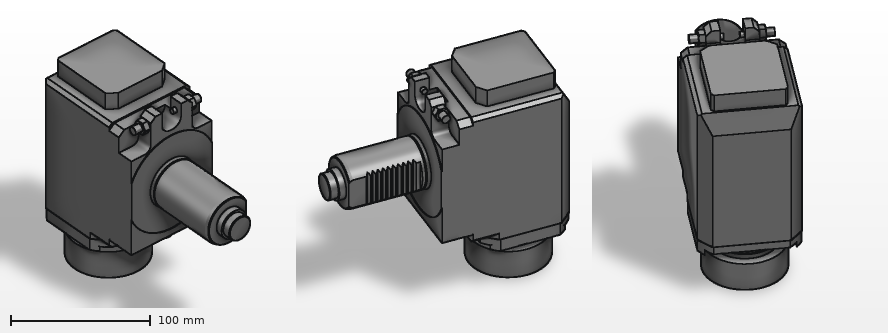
import cadquery as cq
import math


BODY_WIDTH = 76.0
HALF_WIDTH = BODY_WIDTH / 2
HEAD_LENGTH = 70.0
NECK_START = 80.1
BODY_END = 104.5
BODY_BOTTOM = 45.5
CORNER_TOP = 51.3
HEAD_UNDERSIDE = 48.2
NECK_BOTTOM = 56.3
HEAD_TOP = 159.0
NECK_TOP = 157.9
CORNER_X = 10.5
CORNER_Y = 9.5
FRONT_SLOPE_X = 8.5
FRONT_SLOPE_Z = 14.5
HEAD_EDGE_Y = 3.0
HEAD_EDGE_Z = 2.7
UNDER_EDGE_Z = CORNER_TOP - HEAD_UNDERSIDE
NECK_EDGE_Y = 5.0
NECK_EDGE_Z = 4.5

COVER_START = 10.0
COVER_HALF_WIDTH = 27.9
COVER_TOP = 173.2
COVER_FRONT_CHAMFER = 2.0
COVER_REAR_CHAMFER_X = 5.5
COVER_REAR_CHAMFER_Y = 7.2

NOTCH_START = 90.9
NOTCH_FLOOR = 139.7
NOTCH_WALL_Y = 19.5
NOTCH_FILLET = 6.0
LUG_START = 93.0
LUG_TOP = 168.7
LUG_CHAMFER = 4.1
CHANNEL_START = 87.0
CHANNEL_HALF_WIDTH = 9.0
CHANNEL_FILLET = 8.1

SCREW_X = 98.1
SCREW_Z = 159.7
SCREW_RADIUS = 3.2
SCREW_END_Y = 31.0
TIP_RADIUS = 2.2
TIP_END_Y = 6.0
NUT_FLATS = 10.3
NUT_END_Y = 24.5
NUT_CHAMFER_RADIAL = 0.9
NUT_CHAMFER_AXIAL = 0.5

SHANK_Z = 103.9
FACE_RADIUS = 41.4
FACE_END = 105.1
FLANGE_RADIUS = 20.5
FLANGE_END = 107.8
GROOVE_RADIUS = 19.6
GROOVE_END = 108.9
SHANK_RADIUS = 20.2
SHANK_TAPER_START = 164.7
SHANK_END = 168.0
SHANK_LEAD_RADIUS = 19.5
SHANK_LEAD_CHAMFER = 0.5
COLLAR_RADIUS = 11.9
COLLAR_END = 173.3
PIN_RADIUS = 10.0
PIN_END = 180.0
PIN_CHAMFER = 0.5

FLAT_Y = 16.0
FLAT_START = 111.8
TOOTH_COUNT = 10
TOOTH_ROW_LENGTH = 36.0
TOOTH_PITCH = TOOTH_ROW_LENGTH / (TOOTH_COUNT - 1)
FIRST_GROOVE_X = 116.5
TOOTH_DEPTH = 1.8
TOOTH_HALF_WIDTH = 1.6

SPINDLE_X = HEAD_LENGTH / 2
BASE_RADIUS = 44.5
BASE_INSET = 0.2
BASE_BOTTOM = 39.2
RAIL_BOTTOM = 35.3
RAIL_INNER_Y = 33.3
SPINDLE_NUT_RADIUS = 31.5
SPINDLE_NUT_TOP = 25.4
SPINDLE_NUT_CHAMFER_RADIAL = 4.0
SPINDLE_NUT_CHAMFER_AXIAL = 2.3
LOWER_RING_RADIUS = 25.0
LOWER_RING_TOP = 29.2
SPINDLE_NECK_RADIUS = 24.0
SPINDLE_NECK_TOP = 32.0
UPPER_RING_RADIUS = 25.5
RING_FLATS_BOTTOM = 34.4
RING_FLATS_Y = 22.9

BOLT_X = 94.0
BOLT_RADIUS = 7.4
BOLT_BOTTOM = 52.4


def block(x_range, y_range, z_range):
    """Box between the given coordinate pairs."""
    (x0, x1), (y0, y1), (z0, z1) = x_range, y_range, z_range
    return cq.Workplane("XY").box(x1 - x0, y1 - y0, z1 - z0, centered=False).translate((x0, y0, z0))


def both_sides(half):
    """A shape together with its mirror image about Y = 0."""
    return half.union(half.mirror("XZ"), clean=True)


def along_x(points, x0, x1):
    """Closed (Y, Z) outline extruded from x0 to x1."""
    return cq.Workplane("YZ", origin=(x0, 0, 0)).polyline(points).close().extrude(x1 - x0)


def along_y(radius, y0, y1):
    """Round bar on the clamping screw axis between y0 and y1."""
    plane = cq.Plane(origin=(SCREW_X, y0, SCREW_Z), xDir=(1, 0, 0), normal=(0, 1, 0))
    return cq.Workplane(plane).circle(radius).extrude(y1 - y0)


def edge_wedges(x0, x1, z_edge, depth_y, depth_z):
    """Wedges that chamfer both long edges at height z_edge; depth_z is signed into the body."""
    points = [
        (HALF_WIDTH, z_edge),
        (HALF_WIDTH - depth_y, z_edge),
        (HALF_WIDTH, z_edge + depth_z),
    ]
    return both_sides(along_x(points, x0, x1))


def corner_wedges(x_corner, depth_x, z0, z1):
    """Wedges that chamfer both vertical corners at x_corner; depth_x is signed into the body."""
    wedge = (
        cq.Workplane("XY", origin=(0, 0, z0))
        .polyline([
            (x_corner, HALF_WIDTH),
            (x_corner + depth_x, HALF_WIDTH),
            (x_corner, HALF_WIDTH - CORNER_Y),
        ])
        .close()
        .extrude(z1 - z0)
    )
    return both_sides(wedge)


def make_body():
    side_outline = [
        (0, HEAD_UNDERSIDE),
        (NECK_START, HEAD_UNDERSIDE),
        (NECK_START, NECK_BOTTOM),
        (BODY_END, NECK_BOTTOM),
        (BODY_END, NECK_TOP),
        (NECK_START, NECK_TOP),
        (NECK_START, HEAD_TOP),
        (FRONT_SLOPE_X, HEAD_TOP),
        (0, HEAD_TOP - FRONT_SLOPE_Z),
    ]
    body = cq.Workplane("XZ").polyline(side_outline).close().extrude(HALF_WIDTH, both=True)
    body = body.cut(edge_wedges(0, NECK_START, HEAD_UNDERSIDE, HEAD_EDGE_Y, UNDER_EDGE_Z))
    body = body.cut(edge_wedges(0, NECK_START, HEAD_TOP, HEAD_EDGE_Y, -HEAD_EDGE_Z))
    body = body.cut(edge_wedges(NECK_START, BODY_END, NECK_TOP, NECK_EDGE_Y, -NECK_EDGE_Z))

    column = block((0, HEAD_LENGTH), (-HALF_WIDTH, HALF_WIDTH), (BODY_BOTTOM, CORNER_TOP))
    column = column.cut(corner_wedges(HEAD_LENGTH, -CORNER_X, BODY_BOTTOM, CORNER_TOP))
    return body.union(column).cut(corner_wedges(0, CORNER_X, BODY_BOTTOM, HEAD_TOP))


def make_cover():
    half_outline = [
        (COVER_START, 0),
        (COVER_START, COVER_HALF_WIDTH - COVER_FRONT_CHAMFER),
        (COVER_START + COVER_FRONT_CHAMFER, COVER_HALF_WIDTH),
        (HEAD_LENGTH - COVER_REAR_CHAMFER_X, COVER_HALF_WIDTH),
        (HEAD_LENGTH, COVER_HALF_WIDTH - COVER_REAR_CHAMFER_Y),
        (HEAD_LENGTH, 0),
    ]
    half = cq.Workplane("XY", origin=(0, 0, HEAD_TOP)).polyline(half_outline).close()
    return both_sides(half.extrude(COVER_TOP - HEAD_TOP))


def make_notches():
    """Side notches beside the clamping lugs, with a rounded foot on the inner wall."""
    arc_offset = NOTCH_FILLET * (1 - math.sqrt(0.5))
    notch = (
        cq.Workplane("YZ", origin=(NOTCH_START, 0, 0))
        .moveTo(HALF_WIDTH, NOTCH_FLOOR)
        .lineTo(NOTCH_WALL_Y + NOTCH_FILLET, NOTCH_FLOOR)
        .threePointArc(
            (NOTCH_WALL_Y + arc_offset, NOTCH_FLOOR + arc_offset),
            (NOTCH_WALL_Y, NOTCH_FLOOR + NOTCH_FILLET),
        )
        .lineTo(NOTCH_WALL_Y, NECK_TOP)
        .lineTo(HALF_WIDTH, NECK_TOP)
        .close()
        .extrude(BODY_END - NOTCH_START)
    )
    return both_sides(notch)


def make_lugs():
    outline = [
        (CHANNEL_HALF_WIDTH, NECK_TOP),
        (NOTCH_WALL_Y, NECK_TOP),
        (NOTCH_WALL_Y, LUG_TOP - LUG_CHAMFER),
        (NOTCH_WALL_Y - LUG_CHAMFER, LUG_TOP),
        (CHANNEL_HALF_WIDTH, LUG_TOP),
    ]
    return both_sides(along_x(outline, LUG_START, BODY_END))


def make_channel():
    """Round-bottomed channel between the lugs."""
    channel = block(
        (CHANNEL_START, BODY_END),
        (-CHANNEL_HALF_WIDTH, CHANNEL_HALF_WIDTH),
        (NECK_TOP - CHANNEL_FILLET, LUG_TOP),
    )
    return channel.edges("|X and <Z").fillet(CHANNEL_FILLET)


def make_screws():
    """Set screw, chamfered hex nut and screw tip on each lug."""
    corner_radius = NUT_FLATS / math.sqrt(3)
    plane = cq.Plane(origin=(SCREW_X, NOTCH_WALL_Y, SCREW_Z), xDir=(1, 0, 0), normal=(0, 1, 0))
    hexagon = cq.Workplane(plane).polygon(6, 2 * corner_radius).extrude(NUT_END_Y - NOTCH_WALL_Y)
    turned = along_y(corner_radius, NOTCH_WALL_Y, NUT_END_Y)
    turned = turned.faces(">Y").chamfer(NUT_CHAMFER_AXIAL, NUT_CHAMFER_RADIAL)
    screw = along_y(SCREW_RADIUS, NOTCH_WALL_Y, SCREW_END_Y)
    tip = along_y(TIP_RADIUS, TIP_END_Y, NOTCH_WALL_Y)
    return both_sides(hexagon.intersect(turned).union(screw).union(tip))


def make_face_plate():
    """Thin round seating face, trimmed to the body width."""
    disc = cq.Workplane("YZ", origin=(BODY_END, 0, SHANK_Z)).circle(FACE_RADIUS)
    disc = disc.extrude(FACE_END - BODY_END)
    trim = block((BODY_END, FACE_END), (-HALF_WIDTH, HALF_WIDTH), (0, COVER_TOP))
    return disc.intersect(trim)


def make_shank():
    flange_drop = FLANGE_RADIUS - GROOVE_RADIUS
    flange_width = FLANGE_END - FACE_END
    crown_radius = (flange_width**2 + flange_drop**2) / (2 * flange_drop)
    crown_middle = FACE_END + flange_width / 2
    crown_middle_drop = crown_radius - math.sqrt(crown_radius**2 - (flange_width / 2) ** 2)
    half_profile = (
        cq.Workplane("XZ")
        .moveTo(BODY_END, 0)
        .lineTo(BODY_END, FLANGE_RADIUS)
        .lineTo(FACE_END, FLANGE_RADIUS)
        .threePointArc(
            (crown_middle, FLANGE_RADIUS - crown_middle_drop),
            (FLANGE_END, GROOVE_RADIUS),
        )
        .lineTo(GROOVE_END, GROOVE_RADIUS)
        .lineTo(GROOVE_END, SHANK_RADIUS)
        .lineTo(SHANK_TAPER_START, SHANK_RADIUS)
        .lineTo(SHANK_END - SHANK_LEAD_CHAMFER, SHANK_LEAD_RADIUS)
        .lineTo(SHANK_END, SHANK_LEAD_RADIUS - SHANK_LEAD_CHAMFER)
        .lineTo(SHANK_END, COLLAR_RADIUS)
        .lineTo(COLLAR_END, COLLAR_RADIUS)
        .lineTo(COLLAR_END, PIN_RADIUS)
        .lineTo(PIN_END - PIN_CHAMFER, PIN_RADIUS)
        .lineTo(PIN_END, PIN_RADIUS - PIN_CHAMFER)
        .lineTo(PIN_END, 0)
        .close()
    )
    shank = half_profile.revolve(360, (0, 0, 0), (1, 0, 0)).translate((0, 0, SHANK_Z))
    return shank.cut(make_tooth_cutter())


def make_tooth_cutter():
    """Flat on the +Y side of the shank with a row of V grooves across it."""
    z_range = (SHANK_Z - SHANK_RADIUS, SHANK_Z + SHANK_RADIUS)
    cutter = block((FLAT_START, SHANK_END), (FLAT_Y, SHANK_RADIUS), z_range)
    for index in range(TOOTH_COUNT):
        x = FIRST_GROOVE_X + index * TOOTH_PITCH
        groove = (
            cq.Workplane("XY", origin=(0, 0, SHANK_Z))
            .polyline([
                (x - TOOTH_HALF_WIDTH, FLAT_Y),
                (x, FLAT_Y - TOOTH_DEPTH),
                (x + TOOTH_HALF_WIDTH, FLAT_Y),
            ])
            .close()
            .extrude(SHANK_RADIUS, both=True)
        )
        cutter = cutter.union(groove)
    return cutter


def spindle_disc(radius, z0, z1):
    """Round disc on the spindle axis."""
    return cq.Workplane("XY", origin=(SPINDLE_X, 0, z0)).circle(radius).extrude(z1 - z0)


def make_base():
    """Round-cornered plate under the head, with a rail along each side."""
    x_range = (BASE_INSET, HEAD_LENGTH - BASE_INSET)
    side_y = HALF_WIDTH - BASE_INSET
    plate = block(x_range, (-side_y, side_y), (BASE_BOTTOM, BODY_BOTTOM))
    rail = block(x_range, (RAIL_INNER_Y, side_y), (RAIL_BOTTOM, BASE_BOTTOM))
    turned = spindle_disc(BASE_RADIUS, RAIL_BOTTOM, BODY_BOTTOM)
    return plate.union(both_sides(rail)).intersect(turned)


def make_spindle():
    nut = spindle_disc(SPINDLE_NUT_RADIUS, 0, SPINDLE_NUT_TOP)
    nut = nut.faces("<Z").chamfer(SPINDLE_NUT_CHAMFER_AXIAL, SPINDLE_NUT_CHAMFER_RADIAL)
    upper_ring = spindle_disc(UPPER_RING_RADIUS, RING_FLATS_BOTTOM, BASE_BOTTOM)
    flats = block((0, HEAD_LENGTH), (-RING_FLATS_Y, RING_FLATS_Y), (RING_FLATS_BOTTOM, BASE_BOTTOM))
    return (
        nut.union(spindle_disc(LOWER_RING_RADIUS, SPINDLE_NUT_TOP, LOWER_RING_TOP))
        .union(spindle_disc(SPINDLE_NECK_RADIUS, LOWER_RING_TOP, SPINDLE_NECK_TOP))
        .union(spindle_disc(UPPER_RING_RADIUS, SPINDLE_NECK_TOP, RING_FLATS_BOTTOM))
        .union(upper_ring.intersect(flats))
    )


def make_bolt_head():
    bolt = cq.Workplane("XY", origin=(BOLT_X, 0, BOLT_BOTTOM)).circle(BOLT_RADIUS)
    return bolt.extrude(NECK_BOTTOM - BOLT_BOTTOM)


result = (
    make_body()
    .cut(make_notches())
    .union(make_lugs())
    .cut(make_channel())
    .union(make_cover())
    .union(make_screws())
    .union(make_face_plate())
    .union(make_shank())
    .union(make_base())
    .union(make_spindle())
    .union(make_bolt_head())
)